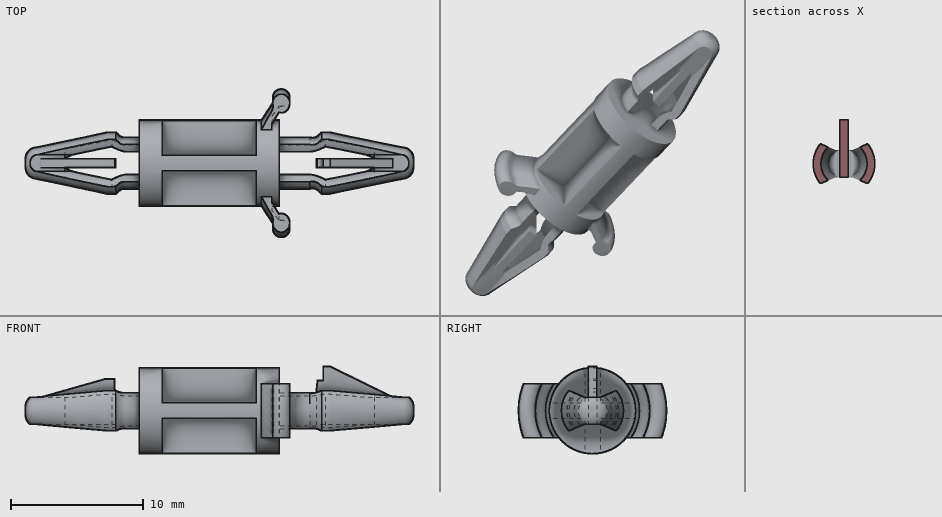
import cadquery as cq
import math

total_length = 29.35

body_radius = 3.25
body_start = 8.6
body_end = 19.2
pocket_start = 10.35
pocket_end = 17.43
web_thickness = 1.17

nose_flat_radius = 0.25
nose_radius = 1.2
nose_length = 0.85
shoulder_radius = 2.35
neck_radius = 1.97
shoulder_drop = 0.23
clip_root_depth = 0.3
flat_half_height = 1.03
arm_flare = math.radians(23)
flare_start = 0.62
arm_wall = 0.55
cavity_start = 3.0
cavity_start_radius = 1.1

fin_thickness = 0.67

wing_half_height = 2.05
wing_tip_radius = 5.6
bead_radius = 0.65
bead_x = 19.34
stem_front_x = 17.85
stem_width = 0.75
stem_base_depth = 0.3
stem_step = 0.3
stem_lean_x = 0.8
bead_blend_height = 0.15
back_end_width = 0.62
stem_lean_r = 1.2


def make_body():
    """Cylinder with four pockets that leave a cross-shaped web."""
    blank = cq.Workplane("YZ").workplane(offset=body_start).circle(body_radius)
    body = blank.extrude(body_end - body_start)
    pocket_length = pocket_end - pocket_start
    pocket_center = web_thickness / 2 + body_radius / 2
    for y_side in (-1, 1):
        for z_side in (-1, 1):
            pocket = cq.Workplane("XY").box(pocket_length, body_radius, body_radius)
            pocket = pocket.translate(
                (pocket_start + pocket_length / 2, y_side * pocket_center, z_side * pocket_center)
            )
            body = body.cut(pocket)
    return body


def make_arms(length, shoulder_start, shoulder_end, neck_start):
    """Pair of barbed arms joined at a rounded nose at X = 0 and running to X = length."""
    root = length + clip_root_depth
    nose_bend = math.sqrt(0.5)
    nose_mid = (
        nose_length * (1 - nose_bend),
        nose_flat_radius + (nose_radius - nose_flat_radius) * nose_bend,
    )
    turned = (
        cq.Workplane("XY")
        .lineTo(0, nose_flat_radius)
        .threePointArc(nose_mid, (nose_length, nose_radius))
        .lineTo(shoulder_start, shoulder_radius)
        .lineTo(shoulder_end, shoulder_radius)
        .lineTo(shoulder_end + shoulder_drop, shoulder_radius - shoulder_drop)
        .tangentArcPoint((neck_start, neck_radius), relative=False)
        .lineTo(root, neck_radius)
        .lineTo(root, 0)
        .close()
        .revolve(360, (0, 0, 0), (1, 0, 0))
    )

    flare_height = flat_half_height + (shoulder_radius - flare_start) * math.tan(arm_flare)
    section = (
        cq.Workplane("YZ")
        .polyline([
            (-shoulder_radius, -flare_height),
            (-flare_start, -flat_half_height),
            (flare_start, -flat_half_height),
            (shoulder_radius, -flare_height),
            (shoulder_radius, flare_height),
            (flare_start, flat_half_height),
            (-flare_start, flat_half_height),
            (-shoulder_radius, flare_height),
        ])
        .close()
        .extrude(root)
    )

    cavity_shoulder_radius = shoulder_radius - arm_wall
    cavity_neck_radius = neck_radius - arm_wall
    cavity_shoulder = (shoulder_start + shoulder_end) / 2
    cavity = (
        cq.Workplane("XY")
        .moveTo(cavity_start, 0)
        .lineTo(cavity_start, cavity_start_radius)
        .lineTo(cavity_shoulder, cavity_shoulder_radius)
        .lineTo(cavity_shoulder + shoulder_drop, cavity_shoulder_radius - shoulder_drop / 2)
        .tangentArcPoint((neck_start, cavity_neck_radius), relative=False)
        .lineTo(root, cavity_neck_radius)
        .lineTo(root, 0)
        .close()
        .revolve(360, (0, 0, 0), (1, 0, 0))
    )
    return turned.intersect(section).cut(cavity)


def make_fin(fin_root, top_points):
    """Flat locking fin rooted in the nose at X = fin_root; top_points run from its ramp to its free end."""
    free_end = top_points[-1][0]
    outline = [(fin_root, -flat_half_height), (fin_root, flat_half_height)]
    outline += top_points + [(free_end, -flat_half_height)]
    return cq.Workplane("XZ").polyline(outline).close().extrude(fin_thickness / 2, both=True)


def make_wings():
    """Two curved spring wings with a beaded rim, turned about the body axis."""
    bead_r = wing_tip_radius - bead_radius
    base_r = body_radius - stem_base_depth
    stem_back_x = stem_front_x + stem_width
    stem_end_x = stem_front_x + stem_lean_x + back_end_width
    blend_end = (bead_x - math.sqrt(bead_radius**2 - bead_blend_height**2), bead_r - bead_blend_height)
    stem = (
        cq.Workplane("XZ")
        .moveTo(stem_front_x - stem_lean_x * stem_base_depth / stem_lean_r, base_r)
        .lineTo(stem_front_x + stem_lean_x, body_radius + stem_lean_r)
        .tangentArcPoint(blend_end, relative=False)
        .lineTo(bead_x, bead_r)
        .lineTo(stem_end_x, body_radius + stem_lean_r)
        .lineTo(stem_back_x, body_radius + stem_step)
        .lineTo(stem_back_x, base_r)
        .close()
        .revolve(360, (0, 0, 0), (1, 0, 0))
    )
    bead = cq.Workplane("XZ").center(bead_x, bead_r).circle(bead_radius)
    bead = bead.revolve(360, (-bead_x, -bead_r, 0), (0.3 - bead_x, -bead_r, 0))
    band = cq.Workplane("XY").box(total_length, 2 * wing_tip_radius, 2 * wing_half_height)
    band = band.translate((total_length / 2, 0, 0))
    return stem.union(bead).intersect(band)


left_fin_profile = [(6.05, 2.4), (6.75, 2.4), (6.75, 1.7), (6.85, 1.45)]
left_arms = make_arms(length=body_start, shoulder_start=6.22, shoulder_end=6.85, neck_start=7.57)
left_clip = left_arms.union(make_fin(fin_root=1.2, top_points=left_fin_profile))

right_fin_profile = [(6.3, 3.35), (6.85, 3.35), (6.85, 2.3), (7.28, 2.3), (7.35, 1.47)]
right_arms = make_arms(
    length=total_length - body_end, shoulder_start=6.4, shoulder_end=6.95, neck_start=7.85
)
right_clip = right_arms.union(make_fin(fin_root=1.58, top_points=right_fin_profile))
right_clip = right_clip.mirror("YZ").translate((total_length, 0, 0))

result = make_body().union(make_wings()).union(left_clip).union(right_clip)